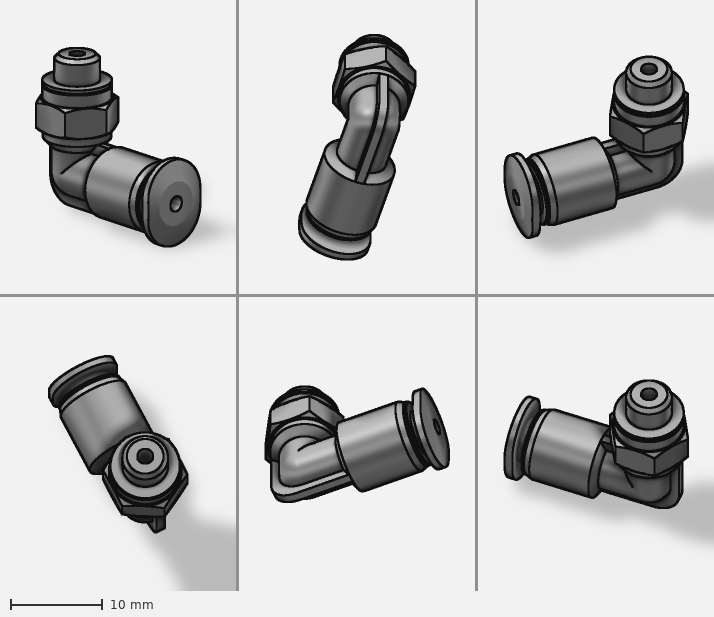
import cadquery as cq
import math


elbow_radius = 2.8
bore_radius = 1.7 / 2
barrel_radius = 8.0 / 2
collar_radius = 7.5 / 2

shoulder_z = elbow_radius + 0.2
collar_base_z = barrel_radius
hex_base_z = 4.95
hex_top_z = 8.47
seat_top_z = 9.92
washer_base_z = 10.08
washer_top_z = 10.5
stem_top_z = 13.5

spigot_radius = 5.0 / 2
spigot_tip_radius = 4.0 / 2
spigot_chamfer = spigot_radius - spigot_tip_radius
washer_radius = 7.6 / 2
groove_radius = 7.4 / 2

hex_across_flats = 8.0
hex_corner_radius = hex_across_flats / 2 / math.cos(math.pi / 6)
hex_chamfer_radius = 7.92 / 2
hex_chamfer_angle = math.radians(30)

outlet_end_x = 20.32 - hex_corner_radius
cone_start_x = 4.84
barrel_start_x = 5.5
barrel_taper_x = 12.48
barrel_lip_x = 13.23
lip_bevel_x = 13.45
barrel_end_x = 13.6
barrel_lip_radius = 7.4 / 2
barrel_end_radius = 3.55
button_back_x = 14.49
button_rim_x = 15.26
neck_radius = 5.0 / 2
neck_fillet = 0.35

button_half_width = 3.92
button_half_height = 4.92

rib_thickness = 1.0
rib_corner_radius = 3.0


def revolve_about_z(points):
    """Turn a closed (radius, z) outline around the stem axis."""
    return cq.Workplane("XZ").polyline(points).close().revolve(360, (0, 0), (0, 1))


def cylinder_along_x(radius, start, end):
    return cq.Workplane("YZ", origin=(start, 0, 0)).circle(radius).extrude(end - start)


def make_stem():
    return revolve_about_z([
        (0, 0),
        (elbow_radius, 0),
        (elbow_radius, shoulder_z),
        (collar_radius, collar_base_z),
        (collar_radius, hex_base_z),
        (washer_radius, hex_base_z),
        (washer_radius, seat_top_z),
        (groove_radius, seat_top_z),
        (groove_radius, washer_base_z),
        (washer_radius, washer_base_z),
        (washer_radius, washer_top_z),
        (spigot_radius, washer_top_z),
        (spigot_radius, stem_top_z - spigot_chamfer),
        (spigot_tip_radius, stem_top_z),
        (0, stem_top_z),
    ])


def make_hex():
    """Hexagon with corners on the X axis and conical chamfers on both faces."""
    prism = (
        cq.Workplane("XY", origin=(0, 0, hex_base_z))
        .polygon(6, 2 * hex_corner_radius)
        .extrude(hex_top_z - hex_base_z)
    )
    outer_radius = hex_corner_radius + 0.2
    drop = (outer_radius - hex_chamfer_radius) * math.tan(hex_chamfer_angle)
    envelope = revolve_about_z([
        (0, hex_base_z),
        (hex_chamfer_radius, hex_base_z),
        (outer_radius, hex_base_z + drop),
        (outer_radius, hex_top_z - drop),
        (hex_chamfer_radius, hex_top_z),
        (0, hex_top_z),
    ])
    return prism.intersect(envelope)


def make_outlet():
    """Horizontal elbow arm, barrel and neck turned around the X axis."""
    fillet_mid = neck_fillet * math.sqrt(0.5)
    return (
        cq.Workplane("XZ")
        .moveTo(0, 0)
        .lineTo(0, elbow_radius)
        .lineTo(cone_start_x, elbow_radius)
        .lineTo(barrel_start_x, barrel_radius)
        .lineTo(barrel_taper_x, barrel_radius)
        .lineTo(barrel_lip_x, barrel_lip_radius)
        .lineTo(lip_bevel_x, barrel_lip_radius)
        .lineTo(barrel_end_x, barrel_end_radius)
        .lineTo(barrel_end_x, neck_radius)
        .lineTo(button_back_x - neck_fillet, neck_radius)
        .threePointArc(
            (button_back_x - neck_fillet + fillet_mid, neck_radius + neck_fillet - fillet_mid),
            (button_back_x, neck_radius + neck_fillet),
        )
        .lineTo(button_back_x, 0)
        .close()
        .revolve(360, (0, 0), (1, 0))
    )


def make_button():
    """Oblong release button with a conical outer face."""
    slab = (
        cq.Workplane("YZ", origin=(button_back_x, 0, 0))
        .slot2D(2 * button_half_height, 2 * button_half_width, 90)
        .extrude(outlet_end_x - button_back_x)
    )
    envelope = (
        cq.Workplane("XZ")
        .polyline([
            (button_back_x, 0),
            (button_back_x, button_half_height),
            (button_rim_x, button_half_height),
            (outlet_end_x, neck_radius),
            (outlet_end_x, 0),
        ])
        .close()
        .revolve(360, (0, 0), (1, 0))
    )
    return slab.intersect(envelope)


def make_rib():
    """Flat web in the XZ plane with a rounded outer corner."""
    length = barrel_start_x + collar_radius
    height = collar_base_z + barrel_radius
    return (
        cq.Workplane("XY")
        .box(length, rib_thickness, height, centered=(False, True, False))
        .translate((-collar_radius, 0, -barrel_radius))
        .edges("|Y and <X").edges("<Z")
        .fillet(rib_corner_radius)
    )


def make_bore():
    """Angled passage from the stem tip to the outlet, with a spherical corner."""
    riser = cq.Workplane("XY").circle(bore_radius).extrude(stem_top_z)
    corner = cq.Workplane("XY").sphere(bore_radius)
    return riser.union(corner).union(cylinder_along_x(bore_radius, 0, outlet_end_x))


elbow_corner = cq.Workplane("XY").sphere(elbow_radius)
body = make_stem().union(make_outlet()).union(elbow_corner)
body = body.union(make_hex()).union(make_button()).union(make_rib())
result = body.cut(make_bore())